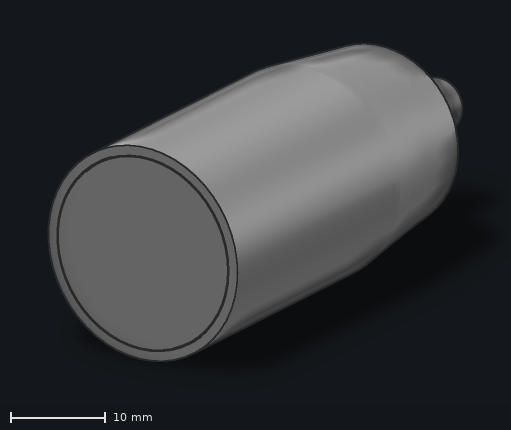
import cadquery as cq

total_length = 58.1
grip_diameter = 23.7
pin_diameter = 5.8
pin_length = 11.3

barrel_length = 31.55
taper_end_diameter = 19.9
blend_radius = 5.8
nose_radius = 1.1

cap_diameter = 21.25
cap_gap = 0.1
cap_gap_depth = 0.6

grip_length = total_length - pin_length
grip_radius = grip_diameter / 2
edge_margin = 0.6
taper_end_radius = taper_end_diameter / 2


def make_grip():
    """Revolve the half outline, then round the two outer edges."""
    outline = (
        cq.Workplane("XY")
        .moveTo(0, 0)
        .lineTo(grip_radius, 0)
        .lineTo(grip_radius, barrel_length)
        .lineTo(taper_end_radius, grip_length)
        .lineTo(0, grip_length)
        .close()
    )
    grip = outline.revolve(360, (0, 0, 0), (0, 1, 0))
    grip = grip.faces(">Y").edges().fillet(nose_radius)
    barrel_edge = cq.selectors.BoxSelector(
        (-grip_diameter, barrel_length - edge_margin, -grip_diameter),
        (grip_diameter, barrel_length + edge_margin, grip_diameter),
        boundingbox=True,
    )
    return grip.edges(barrel_edge).fillet(blend_radius)


def make_disc(diameter, start, length):
    """Cylinder on the Y axis running from start towards +Y."""
    return cq.Workplane("XZ", origin=(0, start, 0)).circle(diameter / 2).extrude(-length)


pin = make_disc(pin_diameter, grip_length, pin_length)
cap_bore = make_disc(cap_diameter + 2 * cap_gap, 0, cap_gap_depth)
cap = make_disc(cap_diameter, 0, cap_gap_depth)
ring_gap = cap_bore.cut(cap)

result = make_grip().union(pin).cut(ring_gap)